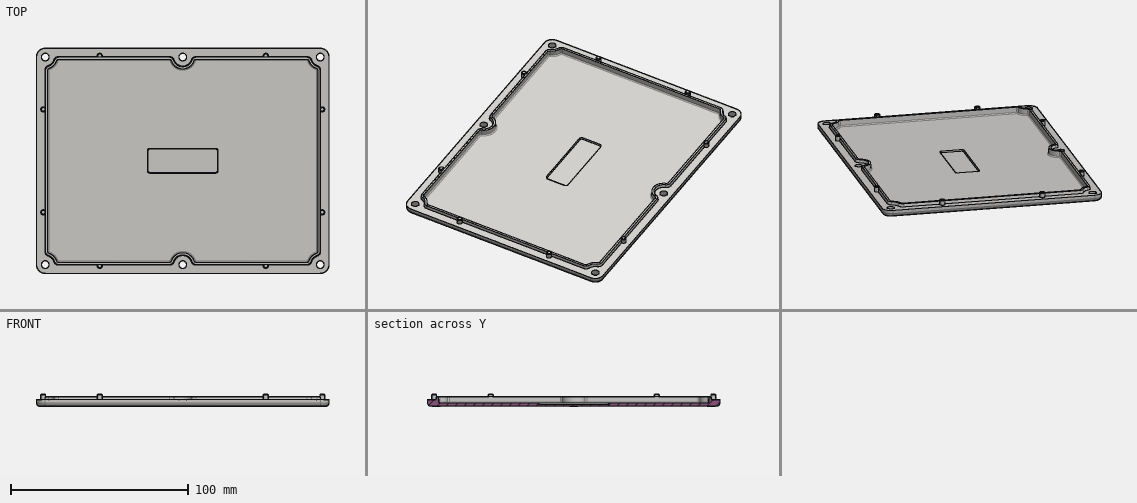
import cadquery as cq
import math

LENGTH = 165.0
WIDTH = 127.0
PLATE_TOP = 3.9
CORNER_RADIUS = 5.0
BOTTOM_FILLET = 2.0
FLOOR = 2.0

HOLE_DIAMETER = 4.2
HOLE_X = 77.5
HOLE_Y = 58.5

RIM_TOP = 5.6
RIM_X = 77.75
RIM_Y = 58.8
RIM_TOP_WIDTH = 1.2
RIM_OUTER_DRAFT = 0.4
RIM_INNER_DRAFT = 0.15
SCOOP_RADIUS = 5.1
SCOOP_CORNER_RADIUS = 2.8
FLOOR_FILLET = 0.6

PIN_TOP = 6.9
PIN_RADIUS = 1.45
PIN_CHAMFER = 0.4
PIN_SIDE_X = 78.6
PIN_SIDE_Y = 29.0
PIN_END_X = 46.8
PIN_END_Y = 59.2

PANEL_LENGTH = 40.0
PANEL_WIDTH = 14.0
PANEL_DEPTH = 0.8
PANEL_CORNER_RADIUS = 1.5
PANEL_DRAFT = 0.4

HOLES = [(x, y) for x in (-HOLE_X, 0, HOLE_X) for y in (-HOLE_Y, HOLE_Y)]
PINS = [
    (sign_x * x, sign_y * y)
    for x, y in ((PIN_SIDE_X, PIN_SIDE_Y), (PIN_END_X, PIN_END_Y))
    for sign_x in (-1, 1)
    for sign_y in (-1, 1)
]


def level(z):
    return cq.Workplane("XY").workplane(offset=z)


def drafted_prism(wire, z, height, draft):
    """Extrude a closed outline from height z, drawing it in by draft over the (signed) height."""
    angle = math.degrees(math.atan2(draft, abs(height)))
    return level(z).add(wire).toPending().extrude(height, taper=angle)


def rim_prism(inset, bottom, top):
    """Prism of the rim's base outline moved inward by inset, scooped around every hole."""
    height = top - bottom
    block = level(bottom).rect(2 * (RIM_X - inset), 2 * (RIM_Y - inset)).extrude(height)
    scoops = level(bottom).pushPoints(HOLES).circle(SCOOP_RADIUS + inset).extrude(height)
    return block.cut(scoops).edges("|Z").fillet(SCOOP_CORNER_RADIUS - inset)


def make_plate():
    plate = level(0).rect(LENGTH, WIDTH).extrude(PLATE_TOP).edges("|Z").fillet(CORNER_RADIUS)
    return plate.faces("<Z").edges().fillet(BOTTOM_FILLET)


def make_rim():
    base = rim_prism(0, PLATE_TOP, RIM_TOP).faces("<Z").wires().val()
    return drafted_prism(base, PLATE_TOP, RIM_TOP - PLATE_TOP, RIM_OUTER_DRAFT)


def make_recess():
    mouth_inset = RIM_OUTER_DRAFT + RIM_TOP_WIDTH
    mouth = rim_prism(mouth_inset, FLOOR, RIM_TOP).faces(">Z").wires().val()
    recess = drafted_prism(mouth, RIM_TOP, FLOOR - RIM_TOP, RIM_INNER_DRAFT)
    return recess.faces("<Z").edges().fillet(FLOOR_FILLET)


def make_pins():
    pins = level(PLATE_TOP).pushPoints(PINS).circle(PIN_RADIUS).extrude(PIN_TOP - PLATE_TOP)
    pins = pins.faces(">Z").edges().chamfer(PIN_CHAMFER)
    return pins.cut(rim_prism(RIM_OUTER_DRAFT, PLATE_TOP, PIN_TOP))


def make_label_panel():
    block = level(FLOOR).rect(PANEL_LENGTH, PANEL_WIDTH).extrude(PANEL_DEPTH)
    mouth = block.edges("|Z").fillet(PANEL_CORNER_RADIUS).faces("<Z").wires().val()
    return drafted_prism(mouth, FLOOR, -PANEL_DEPTH, PANEL_DRAFT)


def make_holes():
    return level(0).pushPoints(HOLES).circle(HOLE_DIAMETER / 2).extrude(PLATE_TOP)


result = make_plate().union(make_rim()).union(make_pins()).cut(make_recess())
result = result.cut(make_label_panel()).cut(make_holes())